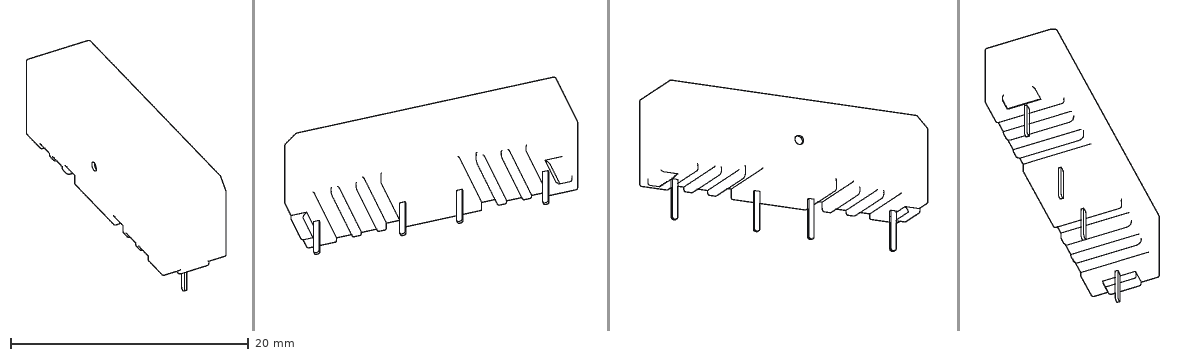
import cadquery as cq
length = 24.1
width = 6.2
total_height = 11.28
case_height = 7.74
corner_cut = 1.04
edge_radius = 0.22

notch_width = 1.47
rib_width = 0.75
first_notch_start = 3.5
tall_notch_depth = 0.95
shallow_notch_depth = 0.5
shallow_notches_per_side = 2
notch_edge_radius = 0.12
rib_radius = 0.48

foot_length = 1.47
foot_width = 3.0
foot_height = 0.39
foot_radius = 0.25
foot_shift = -0.05

inner_pin_x = 2.53
outer_pin_x = 10.17
pin_width = 0.5
pin_thickness = 0.25
pin_tip_radius = 0.22
pin_root = 0.48

dimple_diameter = 0.8
dimple_depth = 0.25
dimple_z = 4.0

half_length = length / 2
half_width = width / 2
notch_pitch = notch_width + rib_width
last_notch_end = first_notch_start + shallow_notches_per_side * notch_pitch + notch_width
pin_length = total_height - case_height
margin = 0.02
sides = (-1, 1)


def extrude_across(outline, depth):
    """Extrude an XZ outline along Y, centred on Y = 0."""
    return cq.Workplane("XZ").polyline(outline).close().extrude(depth / 2, both=True)


def make_block():
    """Plain block with the cut corner at its +X top end."""
    return extrude_across(
        [
            (-half_length, 0),
            (half_length, 0),
            (half_length, case_height - corner_cut),
            (half_length - corner_cut, case_height),
            (-half_length, case_height),
        ],
        width,
    )


def make_notch(index, side):
    """Cutter for one notch; index 0 is the tall one nearest the middle."""
    depth = tall_notch_depth if index == 0 else shallow_notch_depth
    middle_x = side * (first_notch_start + index * notch_pitch + notch_width / 2)
    return cq.Workplane("XY").box(notch_width, 2 * width, 2 * depth).translate((middle_x, 0, 0))


def select_edges(body, x_limits, y, z_limits):
    """Edges whose centres lie at the given Y and within the X and Z limits."""
    low_x, high_x = sorted(x_limits)
    low_z, high_z = z_limits
    box = cq.selectors.BoxSelector((low_x, y - margin, low_z), (high_x, y + margin, high_z))
    return body.edges(box)


def round_ribs(body, y):
    """Round the bottom edge of every rib on the long face at the given Y."""
    for side in sides:
        for index in range(shallow_notches_per_side):
            start = first_notch_start + index * notch_pitch + notch_width
            x_limits = (side * start, side * (start + rib_width))
            body = select_edges(body, x_limits, y, (-margin, margin)).fillet(rib_radius)
    return body


def round_bottom(body, y):
    """Round the bottom edges left between and outside the two groups of notches."""
    for x_limits in (
        (-half_length, -last_notch_end),
        (-first_notch_start, first_notch_start),
        (last_notch_end, half_length),
    ):
        body = select_edges(body, x_limits, y, (-margin, margin)).fillet(edge_radius)
    return body


def round_notches(body, y):
    """Round the rims of the notches on the long face at the given Y."""
    above_bottom_rounding = (edge_radius + margin, tall_notch_depth + margin)
    for side in sides:
        x_limits = (side * (first_notch_start - margin), side * (last_notch_end + margin))
        body = select_edges(body, x_limits, y, above_bottom_rounding).fillet(notch_edge_radius)
    return body


def make_foot(side):
    """Low foot flush with the end face, its inner end sloped at 45 degrees."""
    outer_x = side * half_length
    inner_x = side * (half_length - foot_length)
    sloped_x = side * (half_length - foot_length + foot_height)
    outline = [
        (outer_x, foot_height),
        (outer_x, -foot_height),
        (sloped_x, -foot_height),
        (inner_x, 0),
        (inner_x, foot_height),
    ]
    foot = extrude_across(outline, foot_width).translate((0, foot_shift, 0))
    return foot.faces("<Z").edges("|X").fillet(foot_radius)


def round_outer_edges(body):
    """Round all edges of the end faces, the top face and the sloped corner face."""
    corner_face = cq.selectors.DirectionMinMaxSelector(cq.Vector(1, 0, 1), True)
    corner_edges = body.faces(corner_face).edges()
    return body.faces("<X or >X or >Z").edges().add(corner_edges).fillet(edge_radius)


def make_pin(x):
    """Flat pin with a rounded tip, its root buried in the case."""
    pin = cq.Workplane("XY").box(pin_width, pin_thickness, pin_length + pin_root)
    pin = pin.faces("<Z").edges("|Y").fillet(pin_tip_radius)
    return pin.translate((x, 0, (pin_root - pin_length) / 2))


def make_dimple():
    """Cutter for the shallow round dimple in the -Y face."""
    front_face = cq.Workplane("XZ", origin=(0, -half_width, dimple_z))
    return front_face.circle(dimple_diameter / 2).extrude(-dimple_depth)


part = make_block()
for side in sides:
    for index in range(shallow_notches_per_side + 1):
        part = part.cut(make_notch(index, side))

for round_step in (round_ribs, round_bottom, round_notches):
    for y in (-half_width, half_width):
        part = round_step(part, y)

for side in sides:
    part = part.union(make_foot(side))
part = round_outer_edges(part)

for x in (-outer_pin_x, -inner_pin_x, inner_pin_x, outer_pin_x):
    part = part.union(make_pin(x))
result = part.cut(make_dimple())